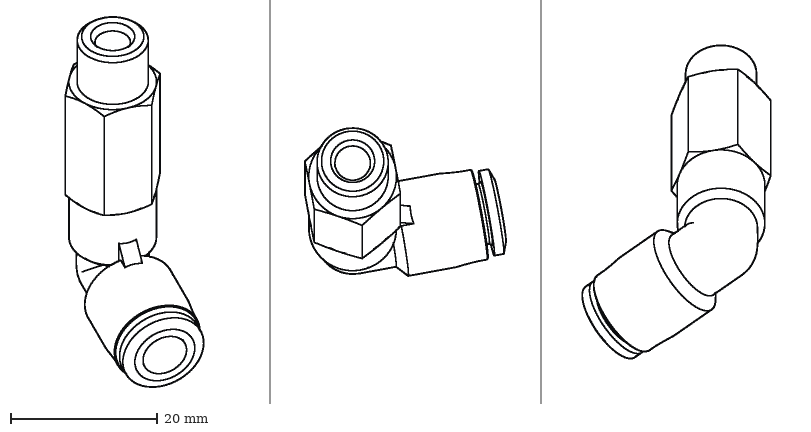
import cadquery as cq
import math

total_height = 47.0
total_length = 26.5
hex_flats = 12.0
hex_bottom = 20.45
hex_top = 39.0
hex_chamfer_angle = math.radians(30)
stud_dia = 9.75
stud_chamfer = 0.6
collar_dia = hex_flats
collar_bottom = 11.5

elbow_dia = 9.95

body_dia = 13.0
body_cone_start = 5.1
body_cone_end = 6.55
body_straight_end = 13.25
body_end_dia = 12.5
body_taper_end = 16.2
body_end = 17.65
body_end_chamfer = 0.15
neck_dia = 8.35
neck_straight_end = 18.25
neck_flare = 0.25
disc_dia = 11.8
disc_start = 18.6
disc_rim_end = 19.95
disc_face = total_length - hex_flats / 2
disc_face_dia = 8.75

web_width = 2.55
web_reach = 21.15

mouth_dia = 6.0
mouth_depth = 1.0
stud_bore_dia = 4.85
stud_bore_bottom = hex_bottom
riser_bore_dia = 2.9
outlet_bore_dia = 3.5
tube_socket_dia = 6.35

axis_height = body_dia / 2


def cylinder_z(diameter, bottom, top):
    return cq.Workplane("XY").workplane(offset=bottom).circle(diameter / 2).extrude(top - bottom)


def cylinder_x(diameter, start, end):
    plane = cq.Workplane("YZ", origin=(start, 0, axis_height))
    return plane.circle(diameter / 2).extrude(end - start)


def elbow_ball(diameter):
    return cq.Workplane("XY").sphere(diameter / 2).translate((0, 0, axis_height))


def make_stud():
    stud = cylinder_z(stud_dia, hex_top, total_height)
    return stud.faces(">Z").chamfer(stud_chamfer)


def make_hex():
    corner_dia = hex_flats / math.cos(math.pi / 6)
    height = hex_top - hex_bottom
    prism = cq.Workplane("XY").workplane(offset=hex_bottom).polygon(6, corner_dia).extrude(height)
    prism = prism.rotate((0, 0, 0), (0, 0, 1), 30)

    blank_radius = corner_dia
    flat_radius = hex_flats / 2
    drop = (blank_radius - flat_radius) * math.tan(hex_chamfer_angle)
    blank = (
        cq.Workplane("XZ")
        .moveTo(0, hex_bottom)
        .lineTo(flat_radius, hex_bottom)
        .lineTo(blank_radius, hex_bottom + drop)
        .lineTo(blank_radius, hex_top - drop)
        .lineTo(flat_radius, hex_top)
        .lineTo(0, hex_top)
        .close()
        .revolve(360, (0, 0, 0), (0, 1, 0))
    )
    return prism.intersect(blank)


def make_collar():
    bevel = (collar_dia - elbow_dia) / 2
    collar = cylinder_z(collar_dia, collar_bottom - bevel, hex_bottom)
    return collar.faces("<Z").chamfer(bevel)


def make_elbow():
    upright = cylinder_z(elbow_dia, axis_height, collar_bottom)
    outlet = cylinder_x(elbow_dia, 0, body_cone_end)
    return upright.union(outlet).union(elbow_ball(elbow_dia))


def make_push_in_leg():
    profile = [
        (body_cone_start, 0),
        (body_cone_start, elbow_dia / 2),
        (body_cone_end, body_dia / 2),
        (body_straight_end, body_dia / 2),
        (body_taper_end, body_end_dia / 2),
        (body_end - body_end_chamfer, body_end_dia / 2),
        (body_end, body_end_dia / 2 - body_end_chamfer),
        (body_end, neck_dia / 2),
        (neck_straight_end, neck_dia / 2),
        (disc_start, neck_dia / 2 + neck_flare),
        (disc_start, disc_dia / 2),
        (disc_rim_end, disc_dia / 2),
        (disc_face, disc_face_dia / 2),
        (disc_face, 0),
    ]
    leg = cq.Workplane("XZ").polyline(profile).close().revolve(360, (0, 0, 0), (1, 0, 0))
    return leg.translate((0, 0, axis_height))


def make_web():
    corners = [
        (0, axis_height),
        (web_reach - axis_height, axis_height),
        (0, web_reach),
    ]
    return cq.Workplane("XZ").polyline(corners).close().extrude(web_width / 2, both=True)


def make_passages():
    mouth = (
        cq.Workplane("XY")
        .workplane(offset=total_height)
        .circle(mouth_dia / 2)
        .workplane(offset=-mouth_depth)
        .circle(stud_bore_dia / 2)
        .loft()
    )
    stud_bore = cylinder_z(stud_bore_dia, stud_bore_bottom, total_height)
    riser = cylinder_z(riser_bore_dia, axis_height, stud_bore_bottom)
    outlet = cylinder_x(outlet_bore_dia, 0, disc_face)
    socket = cylinder_x(tube_socket_dia, body_cone_end, disc_face)
    passages = mouth.union(stud_bore).union(riser)
    return passages.union(elbow_ball(outlet_bore_dia)).union(outlet).union(socket)


result = make_stud().union(make_hex()).union(make_collar()).union(make_elbow())
result = result.union(make_push_in_leg()).union(make_web()).cut(make_passages())